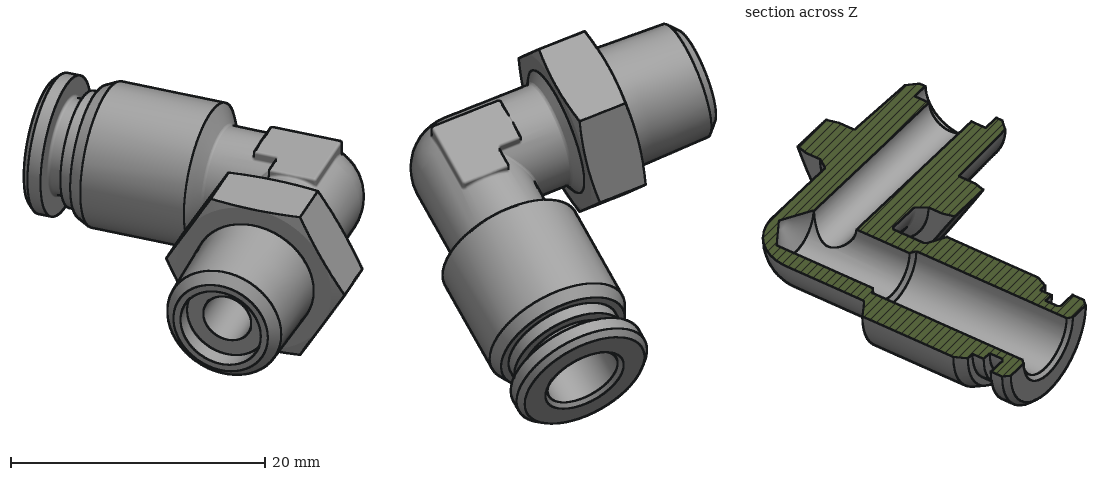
import cadquery as cq
import math


overall_length = 29.6
overall_width = 25.9
hex_flats = 13.0
hex_corner_radius = hex_flats / 2 / math.cos(math.radians(30))

pipe_radius = 4.25
blend_radius = 0.25

tube_end = hex_corner_radius - overall_length
collar_chamfer_end = tube_end + 0.5
collar_back = tube_end + 1.6
ring_front = -19.2
body_front = -18.12
body_chamfer_end = -17.08
body_back = -8.38
body_cone_end = -7.43

collar_front_radius = 5.2
collar_radius = 5.69
stem_radius = 3.9
ring_radius = 4.75
body_front_radius = 5.4
body_radius = 5.9

shoulder_top = -7.35
hex_top = -7.97
hex_bottom = -12.5
thread_end = body_radius - overall_width
thread_chamfer_start = thread_end + 0.8

shoulder_radius = 5.18
thread_top_radius = 5.0
thread_taper = 1 / 32
thread_bottom_radius = thread_top_radius - thread_taper * (hex_bottom - thread_chamfer_start)
thread_tip_radius = 3.97
hex_chamfer_angle = 15

tube_bore_radius = 3.05
tube_mouth_radius = 3.4
tube_stop = -7.4
flow_bore_radius = 2.55
flow_bore_end = 2.07
drill_half_angle = 59
thread_bore_radius = 2.0
thread_recess_radius = 3.38
thread_recess_depth = 1.48

pad_outer = 2.0
pad_inner = -pad_outer
pad_far = -4.03
pad_top = 4.53
soft_edge_radius = 0.2

tolerance = 0.0003


def drill_cone_length(radius):
    return radius / math.tan(math.radians(drill_half_angle))


def turned_about_x(points):
    """Revolve an (x, radius) outline about the X axis."""
    return cq.Workplane("XY").polyline(points).close().revolve(360, (0, 0), (1, 0))


def turned_about_y(points):
    """Revolve a (radius, y) outline about the Y axis."""
    return cq.Workplane("XY").polyline(points).close().revolve(360, (0, 0), (0, 1))


def fillet_circle(solid, center, radius):
    """Blend the circular edge of the given radius centred on the given point."""
    target = cq.Vector(*center)

    def is_match(edge):
        if edge.geomType() != "CIRCLE":
            return False
        same_center = edge.arcCenter().sub(target).Length < tolerance
        return same_center and abs(edge.radius() - radius) < tolerance

    edges = [edge for edge in solid.edges().vals() if is_match(edge)]
    return solid.newObject(edges).fillet(blend_radius)


def tube_branch():
    branch = turned_about_x([
        (tube_end, 0),
        (tube_end, collar_front_radius),
        (collar_chamfer_end, collar_radius),
        (collar_back, collar_radius),
        (collar_back, stem_radius),
        (ring_front, stem_radius),
        (ring_front, ring_radius),
        (body_front, ring_radius),
        (body_front, body_front_radius),
        (body_chamfer_end, body_radius),
        (body_back, body_radius),
        (body_cone_end, pipe_radius),
        (0, pipe_radius),
        (0, 0),
    ])
    branch = fillet_circle(branch, (collar_back, 0, 0), stem_radius)
    return fillet_circle(branch, (body_cone_end, 0, 0), pipe_radius)


def threaded_branch():
    branch = turned_about_y([
        (0, 0),
        (pipe_radius, 0),
        (pipe_radius, shoulder_top),
        (shoulder_radius, hex_top),
        (shoulder_radius, hex_bottom),
        (thread_top_radius, hex_bottom),
        (thread_bottom_radius, thread_chamfer_start),
        (thread_tip_radius, thread_end),
        (0, thread_end),
    ])
    return fillet_circle(branch, (0, shoulder_top, 0), pipe_radius)


def hexagon():
    height = hex_top - hex_bottom
    prism = (
        cq.Workplane("XZ", origin=(0, hex_top, 0))
        .polygon(6, 2 * hex_corner_radius)
        .extrude(height)
    )
    corner_drop = (hex_corner_radius - hex_flats / 2) * math.tan(math.radians(hex_chamfer_angle))
    envelope = turned_about_y([
        (0, hex_top),
        (hex_flats / 2, hex_top),
        (hex_corner_radius, hex_top - corner_drop),
        (hex_corner_radius, hex_bottom + corner_drop),
        (hex_flats / 2, hex_bottom),
        (0, hex_bottom),
    ])
    return prism.intersect(envelope)


def soften_inner_corner(pipes):
    """Blend the mitre where the two pipes meet on the inside of the elbow."""
    def is_mitre(edge):
        middle = edge.Center()
        on_diagonal = abs(middle.x - middle.y) < tolerance
        return edge.geomType() == "ELLIPSE" and middle.x < 0 and on_diagonal

    mitre = [edge for edge in pipes.edges().vals() if is_mitre(edge)]
    return pipes.newObject(mitre).fillet(soft_edge_radius)


def label_pad():
    return (
        cq.Workplane("XY")
        .polyline([
            (pad_outer, pad_outer),
            (pad_far, pad_outer),
            (pad_far, pad_inner),
            (pad_inner, pad_inner),
            (pad_inner, pad_far),
            (pad_outer, pad_far),
        ])
        .close()
        .extrude(pad_top)
        .edges("|Z")
        .fillet(blend_radius)
    )


def add_label_pad(pipes):
    """Join the pad to the pipes and round its foot and its top rim."""
    body = pipes.union(label_pad())
    margin = 0.03
    low = pad_far - margin
    high = pad_outer + margin

    def is_foot(edge):
        box = edge.BoundingBox()
        in_plan = min(box.xmin, box.ymin) > low and max(box.xmax, box.ymax) < high
        in_height = box.zmin > pad_outer and box.zmax < pipe_radius + margin
        return in_plan and in_height

    foot = [edge for edge in body.edges().vals() if is_foot(edge)]
    body = body.newObject(foot).fillet(soft_edge_radius)
    rim_box = cq.selectors.BoxSelector((low, low, pad_top - margin), (high, high, pad_top + margin))
    return body.faces(rim_box).edges().fillet(soft_edge_radius)


def tube_bore():
    mouth_depth = tube_mouth_radius - tube_bore_radius
    stop_length = drill_cone_length(tube_bore_radius) - drill_cone_length(flow_bore_radius)
    return turned_about_x([
        (tube_end, 0),
        (tube_end, tube_mouth_radius),
        (tube_end + mouth_depth, tube_bore_radius),
        (tube_stop, tube_bore_radius),
        (tube_stop + stop_length, flow_bore_radius),
        (flow_bore_end, flow_bore_radius),
        (flow_bore_end + drill_cone_length(flow_bore_radius), 0),
    ])


def thread_bore():
    recess_floor = thread_end + thread_recess_depth
    return turned_about_y([
        (0, thread_end),
        (thread_recess_radius, thread_end),
        (thread_recess_radius, recess_floor),
        (thread_bore_radius, recess_floor),
        (thread_bore_radius, 0),
        (0, 0),
    ])


elbow_corner = cq.Workplane("XY").sphere(pipe_radius)
pipes = tube_branch().union(threaded_branch()).union(elbow_corner)
pipes = soften_inner_corner(pipes)

result = (
    add_label_pad(pipes)
    .union(hexagon())
    .cut(tube_bore())
    .cut(thread_bore())
)